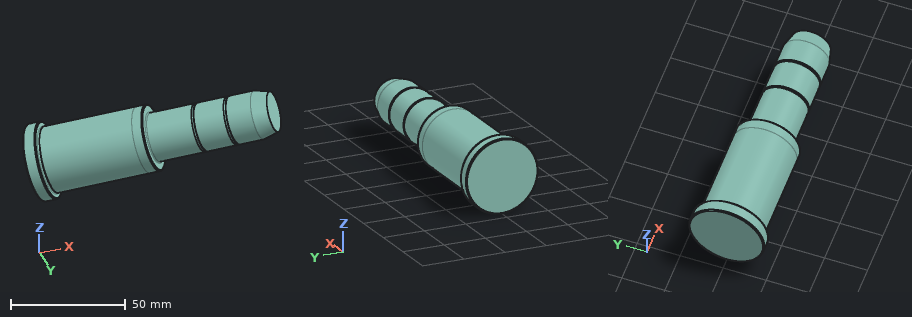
import cadquery as cq
import math

total_length = 111.0
head_length = 6.0
body_length = 49.0
body_lead_length = 5.0

head_diameter = 35.0
body_diameter = 30.0
spigot_diameter = 22.0

head_chamfer = 0.5
body_chamfer = 0.5
spigot_root_fillet = 0.5

undercut_fillet = 1.0
undercut_depth = 0.8

first_groove_start = 76.5
groove_spacing = 15.0
groove_count = 2
groove_width = 1.0
groove_depth = 0.4

taper_length = 7.0
taper_angle = 15.0

head_radius = head_diameter / 2
body_radius = body_diameter / 2
spigot_radius = spigot_diameter / 2
body_end = head_length + body_length
body_lead_start = body_end - body_lead_length
taper_start = total_length - taper_length
tip_radius = spigot_radius - taper_length * math.tan(math.radians(taper_angle))


def add_root_fillet(profile, face_x, floor_radius, fillet_radius):
    """Run down a flat face and round tangentially onto the cylinder beside it."""
    mid_offset = fillet_radius * (1 - math.sqrt(0.5))
    return profile.lineTo(face_x, floor_radius + fillet_radius).threePointArc(
        (face_x + mid_offset, floor_radius + mid_offset),
        (face_x + fillet_radius, floor_radius),
    )


def add_head(profile):
    """Head disc with both rims chamfered."""
    face_radius = head_radius - head_chamfer
    return (
        profile.lineTo(0, face_radius)
        .lineTo(head_chamfer, head_radius)
        .lineTo(head_length - head_chamfer, head_radius)
        .lineTo(head_length, face_radius)
    )


def add_body(profile):
    """Undercut body whose last stretch is a separate lead face of the same diameter."""
    profile = add_root_fillet(profile, head_length, body_radius - undercut_depth, undercut_fillet)
    return (
        profile.lineTo(head_length + undercut_fillet, body_radius)
        .lineTo(body_lead_start, body_radius)
        .lineTo(body_end - body_chamfer, body_radius)
        .lineTo(body_end, body_radius - body_chamfer)
    )


def add_groove(profile, start):
    """Ring groove that ramps in from its start and steps back out at a square wall."""
    wall = start + groove_width
    return (
        profile.lineTo(start, spigot_radius)
        .lineTo(wall, spigot_radius - groove_depth)
        .lineTo(wall, spigot_radius)
    )


def add_spigot(profile):
    """Spigot with a filleted root, ring grooves and a tapered tip."""
    profile = add_root_fillet(profile, body_end, spigot_radius, spigot_root_fillet)
    for index in range(groove_count):
        profile = add_groove(profile, first_groove_start + index * groove_spacing)
    return profile.lineTo(taper_start, spigot_radius).lineTo(total_length, tip_radius)


half_profile = cq.Workplane("XZ").moveTo(0, 0)
half_profile = add_head(half_profile)
half_profile = add_body(half_profile)
half_profile = add_spigot(half_profile)
half_profile = half_profile.lineTo(total_length, 0).close()

result = half_profile.revolve(360, (0, 0, 0), (1, 0, 0), clean=False)